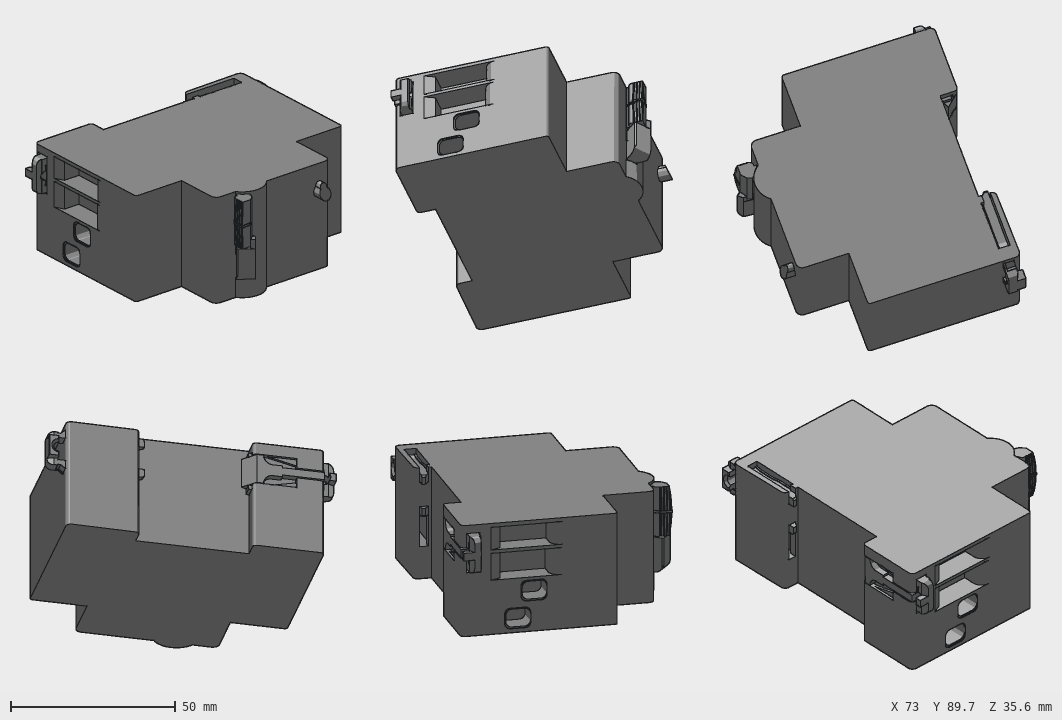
import cadquery as cq
import math


overall_length = 89.7
thickness = 35.6
housing_length = 80.55
body_depth = 49.25
nose_depth = 65.7
nose_start = 17.8
nose_end = 62.6
rail_depth = 5.7
rail_start = 22.25
rail_end = 57.7
lip_taper = 0.4
rail_side_radius = 1.6
rail_start_radius = 1.2
body_radius = 0.9
nose_radius = 2.1

boss_reach = 3.05
boss_half_width = 6.0
boss_radius = (boss_half_width**2 + boss_reach**2) / (2 * boss_reach)
boss_x = nose_depth + boss_reach - boss_radius
boss_y = 31.75

terminal_windows = [(9.4, 31.8, 27.1, 34.35), (9.4, 31.6, 17.4, 26.0)]
window_depth = 7.2
window_slope_width = 3.1
window_slope_depth = 1.5
window_round = 3.3

wire_hole_centres = [(23.0, 13.1), (17.85, 4.6)]
wire_hole_width = 8.2
wire_hole_height = 6.55
wire_hole_radius = 1.8
wire_hole_rim = 0.45
wire_hole_depth = 7.2

clip_front = 2.2
clip_back = rail_depth
clip_radius = 1.9

upper_clip_z = 27.0
upper_end = 86.0
upper_half_width = 5.7
upper_flare = 1.4
upper_hook_start = 82.9
upper_hook_half_width = 3.4
upper_hook_front = 0.3
upper_hook_bevel = 0.3
upper_notch_radius = 1.5
upper_notch_flare = 0.8
upper_head_slope_start = 84.1
upper_head_front = 3.05
leg_inner = 3.9
leg_rib_front = 5.1
leg_rib_height = 0.3
leg_tip_bevel = 0.5
leg_outer = 6.9
leg_dip = 0.45
leg_dip_start = 69.0
leg_dip_end = 73.8
leg_full_start = 65.6
leg_tip = 55.8
leg_nose = 3.4
leg_neck = 4.75
leg_shoulder = 60.0
slot_front = 2.0
slot_end = 76.2
top_slot_bottom = 30.9
inner_slot_bottom = 10.3
inner_slot_top = 23.1

lower_clip_z = 26.7
lower_end = upper_end - overall_length
lower_half_width = 5.7
slide_half_width = 6.3
slide_start = 4.5
slide_end = 23.2
head_start = -1.7
head_front = 3.3
head_back = 5.4
lower_window_half_width = 3.4
lower_window_reach = 0.45
lower_notch_radius = 1.5
stem_half_width = 1.3
tongue_half_width = 4.8
waist_half_width = 1.9
waist_start = 13.1
waist_end = 16.5
waist_bend = (18.1, 2.7)
tongue_shoulder = 19.0
catch_start = 21.2
catch_tip = (4.0, 25.0)
catch_back = 4.9

guide_front = 1.7
guide_back = 5.9
stem_channel_half_width = 1.7
recess_start = 8.6
recess_half_width = 5.0
recess_ledge_depth = 0.9
recess_ledge_half_width = 3.0
recess_ledge_end = 17.7

grip_bottom = 19.0
grip_top = 34.8
grip_middle = (grip_bottom + grip_top) / 2
flange_low = (65.75, 25.9)
flange_high = (68.5, 29.0)
flange_foot = (66.0, 25.4)
belly_start = (66.8, 25.3)
belly_middle = (67.3, 24.0)
belly_end = (68.6, 23.7)
ribs_start = (68.7, 23.0)
grip_corner = (72.3, 23.0)
grip_side = (71.85, 26.55)
grip_shoulder = (70.15, 28.5)
grip_crown = 0.6
crown_radius = ((grip_top - grip_middle) ** 2 + grip_crown**2) / (2 * grip_crown)
neck_depth = 1.1
neck_bottom = 22.3
neck_top = 31.5
groove_positions = [68.9, 69.8, 70.7, 71.6]
groove_width = 0.3
groove_floor = 23.7
fin_width = 0.7
fin_height = 0.2

lever_root = (65.7, 26.2)
lever_heel = (69.25, 23.1)
lever_heel_bevel = (69.9, 23.3)
lever_point = (73.0, 27.5)
lever_crest = (71.5, 28.8)
lever_tip_inner = (70.2, 28.8)
lever_root_back = (66.9, 28.6)
lever_bottom = 7.3
lever_arm_top = 18.5
lever_tip_top = 21.6
lever_round = 3.0
lever_reach = 9.0
lever_pocket_bottom = 6.7
lever_pocket_top = 14.5

button_y = 58.2
button_z = 26.5
button_radius = 2.1
button_end = 69.6
button_slant = 1.6
key_radius = 1.3
key_rise = 2.0


def box(x0, x1, y0, y1, z0, z1):
    """Block between two opposite corners."""
    return cq.Workplane("XY").box(x1 - x0, y1 - y0, z1 - z0, centered=False).translate((x0, y0, z0))


def centred_box(x0, x1, y0, y1, z_middle, half_width):
    """Block that extends equally above and below a middle height."""
    return box(x0, x1, y0, y1, z_middle - half_width, z_middle + half_width)


def prism(points, bottom, top):
    """Straight-sided outline in X and Y, raised from bottom to top."""
    return cq.Workplane("XY").workplane(offset=bottom).polyline(points).close().extrude(top - bottom)


def side_prism(points, front, back):
    """Straight-sided outline in Y and Z, raised along X."""
    return cq.Workplane("YZ").workplane(offset=front).polyline(points).close().extrude(back - front)


def rod(start, end, y, z, radius):
    """Round bar along X."""
    return cq.Workplane("YZ").workplane(offset=start).center(y, z).circle(radius).extrude(end - start)


def boss_disc():
    """Full-thickness cylinder of the pivot boss."""
    return cq.Workplane("XY").center(boss_x, boss_y).circle(boss_radius).extrude(thickness)


def housing_block():
    outline = [
        (0, 0),
        (body_depth, 0),
        (body_depth, nose_start),
        (nose_depth, nose_start),
        (nose_depth, nose_end),
        (body_depth, nose_end),
        (body_depth, housing_length),
        (0, housing_length),
        (lip_taper, rail_end),
        (rail_depth, rail_end),
        (rail_depth, rail_start),
        (0, rail_start),
    ]
    corner_groups = [
        (rail_side_radius, [(0, 0), (0, housing_length), (lip_taper, rail_end)]),
        (rail_start_radius, [(0, rail_start)]),
        (body_radius, [(body_depth, 0), (body_depth, housing_length)]),
        (nose_radius, [(nose_depth, nose_start), (nose_depth, nose_end)]),
    ]
    block = prism(outline, 0, thickness)
    for radius, corners in corner_groups:
        for x, y in corners:
            corner = cq.selectors.NearestToPointSelector((x, y, thickness / 2))
            block = block.edges("|Z").edges(corner).fillet(radius)
    return block.union(boss_disc())


def terminal_window(x0, x1, z0, z1):
    """Terminal recess with one sloped wall and one wall that rounds off into the face."""
    lip_x = x1 - window_round
    bend = window_round * (1 - math.sqrt(0.5))
    outline = (
        cq.Workplane("XY")
        .workplane(offset=z0)
        .moveTo(x0, 0)
        .lineTo(x0 + window_slope_width, window_slope_depth)
        .lineTo(x0 + window_slope_width, window_depth)
        .lineTo(lip_x, window_depth)
        .lineTo(lip_x, window_round)
        .threePointArc((lip_x + bend, bend), (x1, 0))
        .close()
    )
    return outline.extrude(z1 - z0)


def wire_hole(x, z):
    """Rounded wire entry with a shallow wider rim on three sides."""
    x0 = x - wire_hole_width / 2
    x1 = x0 + wire_hole_width
    half_height = wire_hole_height / 2
    rim = centred_box(x0, x1, 0, wire_hole_rim, z, half_height)
    bore = centred_box(x0 + wire_hole_rim, x1, 0, wire_hole_depth, z, half_height - wire_hole_rim)
    return rim.edges("|Y").fillet(wire_hole_radius).union(bore.edges("|Y").fillet(wire_hole_radius))


def upper_clip_slot(bottom, top):
    """Slot for one leg of the upper clip, shallower at the open end."""
    wide_part = box(slot_front, clip_back, leg_shoulder, slot_end, bottom, top)
    return wide_part.union(box(slot_front, leg_neck, rail_end, leg_shoulder, bottom, top))


def lower_clip_guide():
    """Tunnel for the lower clip, with its stem channel and the ledged recess in the rail face."""
    tunnel = centred_box(guide_front, guide_back, 0, rail_start, lower_clip_z, slide_half_width)
    channel = centred_box(0, guide_front, 0, recess_start, lower_clip_z, stem_channel_half_width)
    recess = centred_box(0, recess_ledge_depth, recess_start, rail_start, lower_clip_z, recess_half_width)
    ledge_outline = [
        (recess_start, lower_clip_z - recess_ledge_half_width),
        (recess_ledge_end, lower_clip_z - recess_half_width),
        (rail_start, lower_clip_z - recess_half_width),
        (rail_start, lower_clip_z + recess_half_width),
        (recess_ledge_end, lower_clip_z + recess_half_width),
        (recess_start, lower_clip_z + recess_ledge_half_width),
    ]
    ledge = side_prism(ledge_outline, recess_ledge_depth, guide_front)
    return tunnel.union(channel).union(recess).union(ledge)


def lever_pocket():
    """Opening in the boss for the root of the lever."""
    return box(
        nose_depth,
        nose_depth + boss_reach,
        boss_y - boss_half_width,
        flange_high[1],
        lever_pocket_bottom,
        lever_pocket_top,
    )


def make_housing(neighbours):
    """Housing with its openings and with seats for the bodies that sit in it."""
    body = housing_block()
    for window in terminal_windows:
        body = body.cut(terminal_window(*window))
    for x, z in wire_hole_centres:
        body = body.cut(wire_hole(x, z))
    body = body.cut(upper_clip_slot(top_slot_bottom, thickness))
    body = body.cut(upper_clip_slot(inner_slot_bottom, inner_slot_top))
    body = body.cut(lower_clip_guide()).cut(lever_pocket())
    for neighbour in neighbours:
        body = body.cut(neighbour)
    return body


def leg_strip(side, inset, front, back):
    """Leg with a flare outside the housing and a dip in its outer face, which is set in by inset."""
    outer = leg_outer - inset
    arm = upper_half_width - inset
    across = [
        (leg_tip, leg_inner),
        (upper_hook_start, leg_inner),
        (upper_hook_start, arm),
        (housing_length + upper_flare, arm),
        (housing_length, outer),
        (slot_end, outer),
        (leg_dip_end, outer - leg_dip),
        (leg_dip_start, outer - leg_dip),
        (leg_full_start, outer),
        (leg_tip + leg_tip_bevel, outer),
        (leg_tip, outer - leg_tip_bevel),
    ]
    return side_prism([(y, upper_clip_z + side * z) for y, z in across], front, back)


def upper_leg(side):
    """Latching leg with a raised rib along its back edge and a pointed tip."""
    along = [
        (clip_front, leg_tip),
        (leg_nose, leg_tip),
        (leg_neck, rail_end),
        (leg_neck, leg_shoulder),
        (clip_back, leg_shoulder),
        (clip_back, upper_end),
        (clip_front, upper_end),
    ]
    web = leg_strip(side, leg_rib_height, clip_front, leg_rib_front)
    rib = leg_strip(side, 0, leg_rib_front, clip_back)
    return web.union(rib).intersect(prism(along, 0, thickness))


def upper_bar():
    """Rounded cross bar with a sloped front outside the hook."""
    bar_outline = [
        (clip_front, upper_hook_start),
        (clip_back, upper_hook_start),
        (clip_back, upper_end),
        (upper_head_front, upper_end),
        (clip_front, upper_head_slope_start),
    ]
    rounded = centred_box(clip_front, clip_back, upper_hook_start, upper_end, upper_clip_z, upper_half_width)
    rounded = rounded.edges("|X and >Y").fillet(clip_radius)
    return rounded.intersect(prism(bar_outline, 0, thickness))


def make_upper_clip():
    """Cross bar with a notched hook, carried by two legs."""
    hook = centred_box(
        upper_hook_front, upper_head_front, upper_hook_start, upper_end, upper_clip_z, upper_hook_half_width
    )
    hook = hook.edges("|Z and <X").chamfer(upper_hook_bevel)
    notch = rod(upper_hook_front, clip_back, upper_hook_start, upper_clip_z, upper_notch_radius)
    flare = cq.Solid.makeCone(
        upper_notch_radius + upper_notch_flare,
        upper_notch_radius,
        upper_notch_flare,
        cq.Vector(upper_hook_front, upper_hook_start, upper_clip_z),
        cq.Vector(1, 0, 0),
    )
    clip = upper_bar().union(hook).cut(notch).cut(flare)
    for side in (-1, 1):
        clip = clip.union(upper_leg(side))
    return clip


def lower_head():
    """Rounded head outside the housing, with a sloped front, a hook and a keyhole opening."""
    arms = centred_box(clip_front, clip_back, head_start, slide_start, lower_clip_z, lower_half_width)
    end_outline = [
        (clip_front, head_start),
        (head_front, lower_end),
        (head_back, lower_end),
        (head_back, head_start),
    ]
    end = prism(end_outline, lower_clip_z - lower_half_width, lower_clip_z + lower_half_width)
    rounded = centred_box(clip_front, clip_back, lower_end, slide_start, lower_clip_z, lower_half_width)
    rounded = rounded.edges("|X and <Y").fillet(clip_radius)
    hook = centred_box(0, head_front, lower_end, head_start, lower_clip_z, stem_half_width)
    window = centred_box(
        clip_front, clip_back, -lower_window_reach, 0, lower_clip_z, lower_window_half_width
    )
    notch = rod(0, clip_back, -lower_window_reach, lower_clip_z, lower_notch_radius)
    opening = window.union(notch.cut(box(0, clip_back, 0, slide_start, 0, thickness)))
    return arms.union(end).intersect(rounded).union(hook).cut(opening)


def lower_tongue():
    """Tongue that narrows through a rounded waist to a stem along the rail face."""
    z = lower_clip_z
    outline = (
        cq.Workplane("YZ")
        .moveTo(0, z - stem_half_width)
        .lineTo(waist_start, z - stem_half_width)
        .lineTo(waist_start, z - waist_half_width)
        .lineTo(waist_end, z - waist_half_width)
        .threePointArc((waist_bend[0], z - waist_bend[1]), (tongue_shoulder, z - tongue_half_width))
        .lineTo(catch_start, z - tongue_half_width)
        .lineTo(catch_start, z + tongue_half_width)
        .lineTo(tongue_shoulder, z + tongue_half_width)
        .threePointArc((waist_bend[0], z + waist_bend[1]), (waist_end, z + waist_half_width))
        .lineTo(waist_start, z + waist_half_width)
        .lineTo(waist_start, z + stem_half_width)
        .lineTo(0, z + stem_half_width)
        .close()
    )
    return outline.extrude(clip_front)


def make_lower_clip():
    """Slide plate with the head at one end and a wedge-shaped rail catch at the other."""
    slide = centred_box(clip_front, clip_back, slide_start, slide_end, lower_clip_z, slide_half_width)
    catch_outline = [(0, catch_start), catch_tip, (catch_back, slide_end), (catch_back, catch_start)]
    catch = prism(catch_outline, lower_clip_z - tongue_half_width, lower_clip_z + tongue_half_width)
    return slide.union(catch).union(lower_tongue()).union(lower_head())


def grip_outline(bottom):
    """Closed outline of the grip and its flange at a given height."""
    return (
        cq.Workplane("XY")
        .workplane(offset=bottom)
        .moveTo(*flange_high)
        .lineTo(*flange_low)
        .lineTo(*flange_foot)
        .lineTo(*belly_start)
        .threePointArc(belly_middle, belly_end)
        .lineTo(*ribs_start)
        .lineTo(*grip_corner)
        .lineTo(*grip_side)
        .lineTo(*grip_shoulder)
        .close()
    )


def grip_block():
    """Grip on its flange, with the two outer faces bulging towards mid-width."""
    block = grip_outline(grip_bottom).extrude(grip_top - grip_bottom)
    corner_x, corner_y = grip_corner
    side_crown = (
        cq.Workplane("XZ").center(corner_x - crown_radius, grip_middle).circle(crown_radius).extrude(-nose_depth)
    )
    lower_crown = rod(0, overall_length, corner_y + crown_radius, grip_middle, crown_radius)
    return block.intersect(side_crown).intersect(lower_crown)


def grip_fin():
    """Low fin that runs round the outer faces at mid-width."""
    fin_bottom = grip_middle - fin_width / 2
    raised = grip_outline(fin_bottom).offset2D(fin_height, "intersection").extrude(fin_width)
    return raised.intersect(box(belly_start[0], overall_length, 0, grip_side[1], 0, thickness))


def grip_neck():
    """Neck that carries the flange into the boss, square to the flange."""
    run_x = flange_high[0] - flange_low[0]
    run_y = flange_high[1] - flange_low[1]
    run = math.hypot(run_x, run_y)
    shift_x = -neck_depth * run_y / run
    shift_y = neck_depth * run_x / run
    outline = [
        flange_low,
        flange_high,
        (flange_high[0] + shift_x, flange_high[1] + shift_y),
        (flange_low[0] + shift_x, flange_low[1] + shift_y),
    ]
    return prism(outline, neck_bottom, neck_top)


def make_grip():
    """Finger grip with rows of grooves either side of the middle fin."""
    body = grip_block().cut(boss_disc()).union(grip_neck())
    groove_rows = [
        (grip_bottom, grip_middle - fin_width / 2),
        (grip_middle + fin_width / 2, grip_top),
    ]
    for x in groove_positions:
        for z0, z1 in groove_rows:
            body = body.cut(box(x, x + groove_width, grip_corner[1], groove_floor, z0, z1))
    return body.union(grip_fin())


def lever_rounding():
    """Block whose lower outer edge is rounded, lined up with the outer face of the lever."""
    run_x = lever_point[0] - lever_heel_bevel[0]
    run_y = lever_point[1] - lever_heel_bevel[1]
    bend = lever_round * (1 - math.sqrt(0.5))
    plane = cq.Plane(
        origin=(lever_point[0], lever_point[1], 0), xDir=(run_y, -run_x, 0), normal=(-run_x, -run_y, 0)
    )
    outline = (
        cq.Workplane(plane)
        .moveTo(-lever_reach, lever_bottom)
        .lineTo(-lever_round, lever_bottom)
        .threePointArc((-bend, lever_bottom + bend), (0, lever_bottom + lever_round))
        .lineTo(0, lever_tip_top)
        .lineTo(-lever_reach, lever_tip_top)
        .close()
    )
    return outline.extrude(lever_reach, both=True)


def make_lever(grip_body):
    """Lever arm below the grip, rooted in the boss, with a tip that rises behind the grip."""
    arm_outline = [
        lever_root,
        lever_heel,
        lever_heel_bevel,
        lever_point,
        lever_crest,
        flange_high,
        lever_root_back,
    ]
    arm = prism(arm_outline, lever_bottom, lever_arm_top)
    arm = arm.cut(boss_disc().intersect(box(0, overall_length, 0, housing_length, lever_pocket_top, thickness)))
    tip_outline = [lever_tip_inner, grip_side, lever_point, lever_crest]
    tip = prism(tip_outline, lever_arm_top, lever_tip_top).cut(grip_body)
    return arm.union(tip).intersect(lever_rounding())


def make_button():
    """Round button with a raised key, cut off by a slanted end face."""
    round_part = rod(nose_depth, button_end, button_y, button_z, button_radius)
    key = rod(nose_depth, button_end, button_y, button_z + key_rise, key_radius)
    slope = button_slant / (2 * button_radius)
    key_top = button_z + key_rise + key_radius
    bottom = button_z - button_radius
    side_outline = [
        (nose_depth, bottom),
        (button_end, bottom),
        (button_end - slope * (key_top - bottom), key_top),
        (nose_depth, key_top),
    ]
    slanted = cq.Workplane("XZ").polyline(side_outline).close().extrude(-housing_length)
    return round_part.union(key).intersect(slanted)


upper_clip = make_upper_clip()
lower_clip = make_lower_clip()
grip = make_grip()
lever = make_lever(grip)
test_button = make_button()
housing = make_housing([upper_clip, lower_clip, grip])

bodies = [housing, upper_clip, lower_clip, grip, lever, test_button]

result = cq.Compound.makeCompound([body.solids().val() for body in bodies])